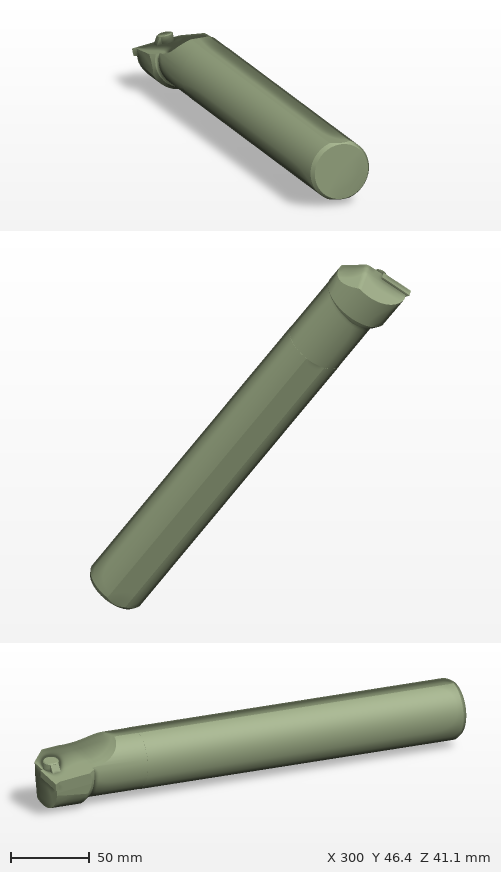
import cadquery as cq
import math


length = 300.0
shank_radius = 40.0 / 2
flat_height = 37.5 / 2
neck_radius = 19.8
neck_end = 70.0
end_chamfer_length = 3.0
end_chamfer_depth = 1.8

head_radius = 44.7 / 2
head_offset = shank_radius - head_radius
head_end = 30.0
head_chamfer_length = 4.2
head_chamfer_depth = 2.55
front_x = 1.5
side_y = -24.5
corner_y = 5.7
corner_end_x = 15.3
corner_radius = 4.5
upper_wall_depth = 7.8
relief_angle = 3.0

rake_height = 4.5
slope_x = math.tan(math.radians(6.7))
slope_y = math.tan(math.radians(9.8))
runout_x = 32.5
runout_radius = 30.0

insert_tip_y = -26.7
insert_side = 21.5
insert_thickness = 4.8
insert_corner_radius = 0.35

clamp_x = 7.5
clamp_y = -5.7
clamp_radius = 5.0
clamp_height = 5.5
clamp_chamfer = 0.5
nose_width = 5.7
nose_reach = 7.8
nose_top_reach = 4.8

margin = 60.0

rake_plane = cq.Plane(
    origin=(0, 0, rake_height),
    xDir=(1, 0, slope_x),
    normal=(-slope_x, -slope_y, 1),
)


def on_rake(x, y):
    """Rake-plane coordinates of the rake-face point above (x, y)."""
    z = rake_height + slope_x * x + slope_y * y
    local = rake_plane.toLocalCoords(cq.Vector(x, y, z))
    return local.x, local.y


def make_bar():
    neck = cq.Workplane("YZ").circle(neck_radius).extrude(neck_end)
    shank_profile = [
        (neck_end, 0),
        (neck_end, shank_radius),
        (length - end_chamfer_length, shank_radius),
        (length, shank_radius - end_chamfer_depth),
        (length, 0),
    ]
    shank = cq.Workplane("XY").polyline(shank_profile).close().revolve(360, (0, 0), (1, 0))
    flats = cq.Workplane("XY").box(length, margin, 2 * flat_height).translate((neck_end + length / 2, 0, 0))
    head = (
        cq.Workplane("YZ").center(head_offset, 0).circle(head_radius).extrude(head_end)
        .faces(">X").chamfer(head_chamfer_length, head_chamfer_depth)
    )
    body = neck.union(shank.intersect(flats)).union(head)
    top_flat = cq.Workplane("XY").workplane(offset=flat_height).rect(2 * length, margin).extrude(margin)
    return body.cut(top_flat)


def wall_outline(plane):
    """Outline of the head walls, left oversize where the bar itself is the limit."""
    corner_slope = (shank_radius - corner_y) / (corner_end_x - front_x)
    far_y = margin
    far_x = front_x + (far_y - corner_y) / corner_slope
    corners = [
        (front_x, side_y),
        (front_x, corner_y),
        (far_x, far_y),
        (2 * length, far_y),
        (2 * length, side_y),
    ]
    return cq.Workplane(plane).polyline([on_rake(x, y) for x, y in corners]).close()


def trim_walls(body):
    """Keep the head inside its front, corner and side walls."""
    low_plane = cq.Plane(
        origin=rake_plane.toWorldCoords((0, 0, -upper_wall_depth)),
        xDir=rake_plane.xDir,
        normal=rake_plane.zDir,
    )
    low_corner = low_plane.toWorldCoords((*on_rake(front_x, corner_y), 0))
    rounded_edge = cq.selectors.NearestToPointSelector((low_corner + rake_plane.zDir * margin).toTuple())
    upper = wall_outline(low_plane).extrude(2 * margin).edges(rounded_edge).fillet(corner_radius)
    lower_outline = upper.faces(cq.selectors.DirectionMinMaxSelector(rake_plane.zDir, False)).wires().toPending()
    lower = lower_outline.workplane().extrude(margin, taper=relief_angle)
    front_end = cq.Workplane("YZ").rect(2 * margin, 2 * margin).extrude(head_end)
    return body.intersect(upper.union(lower)).union(body.cut(front_end))


def cut_rake_face(body):
    """Remove the metal above the rake face, with a curved run-out into the bar."""
    side = cq.Plane(
        origin=rake_plane.origin,
        xDir=rake_plane.xDir,
        normal=-rake_plane.yDir,
    )
    end_x = on_rake(runout_x, 0)[0]
    removed = (
        cq.Workplane(side)
        .moveTo(-margin, 0)
        .lineTo(end_x, 0)
        .radiusArc((end_x + runout_radius, runout_radius), -runout_radius)
        .lineTo(-margin, runout_radius)
        .close()
        .extrude(margin, both=True)
    )
    return body.cut(removed)


def make_insert():
    """Triangular insert, its top face flush with the rake face."""
    corners = [
        (0, insert_tip_y),
        (0, insert_tip_y + insert_side),
        (insert_side * math.sqrt(3) / 2, insert_tip_y + insert_side / 2),
    ]
    blank = cq.Workplane(rake_plane).polyline([on_rake(x, y) for x, y in corners]).close()
    blank = blank.extrude(-insert_thickness)
    return blank.edges(cq.selectors.ParallelDirSelector(rake_plane.zDir)).fillet(insert_corner_radius)


def make_clamp():
    """Clamp head with a sloping nose that bears on the insert."""
    centre_x, centre_y = on_rake(clamp_x, clamp_y)
    head = (
        cq.Workplane(rake_plane).center(centre_x, centre_y).circle(clamp_radius).extrude(clamp_height)
        .faces(cq.selectors.DirectionMinMaxSelector(rake_plane.zDir)).chamfer(clamp_chamfer)
    )
    nose_plane = cq.Plane(
        origin=rake_plane.toWorldCoords((centre_x, centre_y, 0)),
        xDir=-rake_plane.yDir,
        normal=-rake_plane.xDir,
    )
    nose_profile = [
        (0, 0),
        (nose_reach, 0),
        (nose_top_reach, clamp_height - clamp_chamfer),
        (0, clamp_height - clamp_chamfer),
    ]
    nose = cq.Workplane(nose_plane).polyline(nose_profile).close().extrude(nose_width / 2, both=True)
    return head.union(nose)


insert = make_insert()
holder = cut_rake_face(trim_walls(make_bar())).union(make_clamp()).cut(insert)

result = cq.Compound.makeCompound([holder.val(), insert.val()])